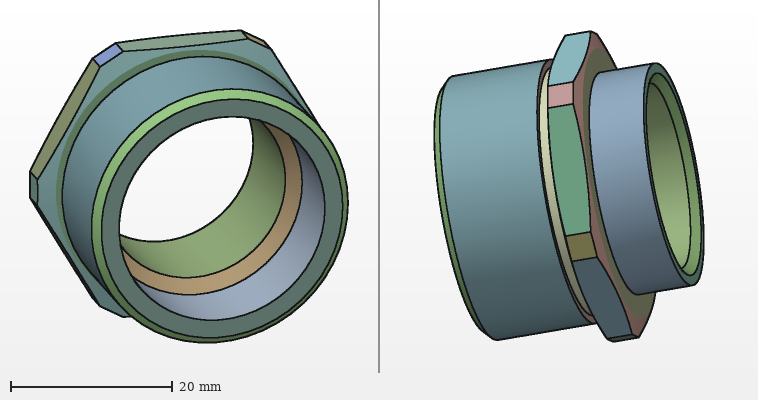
import cadquery as cq
import math

sleeve_length = 7.0
hex_length = 4.5
neck_length = 1.5
spigot_length = 13.52
total_length = sleeve_length + hex_length + neck_length + spigot_length

sleeve_diameter = 28.0
neck_diameter = 31.25
spigot_chamfer = 1.0
spigot_diameter = neck_diameter + 2 * spigot_chamfer

hex_across_flats = 35.0
hex_across_corners = 38.4
bevel_diameter = 34.0
bevel_angle = 15

bore_diameter = 23.3
bore_chamfer = 1.08
bore_end = 15.0
socket_diameter = 26.65

hex_start = sleeve_length
hex_end = hex_start + hex_length
spigot_start = hex_end + neck_length


def cylinder(diameter, start, length):
    """Solid cylinder on the X axis."""
    return cq.Workplane("YZ", origin=(start, 0, 0)).circle(diameter / 2).extrude(length)


def revolve_about_x(profile):
    """Solid of revolution from a closed profile of (x, radius) points."""
    return cq.Workplane("XY").polyline(profile).close().revolve(360, (0, 0, 0), (1, 0, 0))


def hexagon(across_flats, first_corner_angle):
    """Hexagonal prism on the X axis, with a corner at the given angle from +Y."""
    corner_circle = across_flats / math.cos(math.pi / 6)
    outline = cq.Workplane("YZ", origin=(hex_start, 0, 0)).polygon(6, corner_circle)
    return outline.extrude(hex_length).rotate((0, 0, 0), (1, 0, 0), first_corner_angle)


def bevel_envelope():
    """Turned body that bevels both faces of the collar with a shallow cone."""
    inner_radius = bevel_diameter / 2
    outer_radius = hex_across_corners / 2 / math.cos(math.pi / 6)
    bevel_depth = (outer_radius - inner_radius) * math.tan(math.radians(bevel_angle))
    profile = [
        (hex_start, 0),
        (hex_start, inner_radius),
        (hex_start + bevel_depth, outer_radius),
        (hex_end - bevel_depth, outer_radius),
        (hex_end, inner_radius),
        (hex_end, 0),
    ]
    return revolve_about_x(profile)


def collar():
    """Hexagon with a corner on +Y, trimmed by a second hexagon with flats on the corners."""
    flats = hexagon(hex_across_flats, 0)
    corner_trim = hexagon(hex_across_corners, 30)
    return flats.intersect(corner_trim).intersect(bevel_envelope())


def bore():
    """Through bore: chamfered at the sleeve end, widening to a socket at the spigot end."""
    radius = bore_diameter / 2
    socket_radius = socket_diameter / 2
    socket_start = bore_end + socket_radius - radius
    profile = [
        (0, 0),
        (0, radius + bore_chamfer),
        (bore_chamfer, radius),
        (bore_end, radius),
        (socket_start, socket_radius),
        (total_length, socket_radius),
        (total_length, 0),
    ]
    return revolve_about_x(profile)


sleeve = cylinder(sleeve_diameter, 0, hex_end)
neck = cylinder(neck_diameter, hex_end, neck_length)
spigot = cylinder(spigot_diameter, spigot_start, spigot_length).faces(">X").chamfer(spigot_chamfer)

result = sleeve.union(collar()).union(neck).union(spigot).cut(bore())